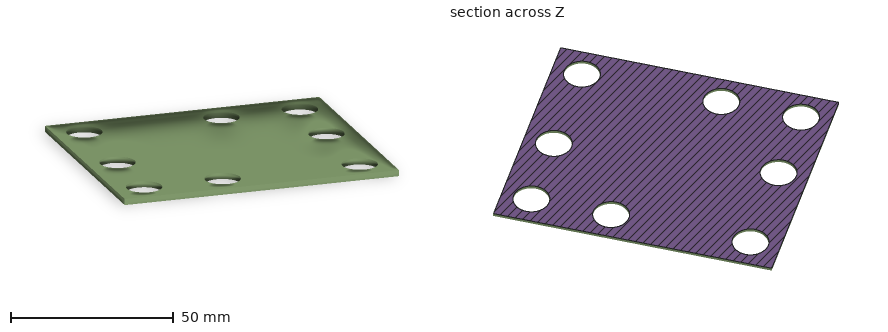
import cadquery as cq

width = 76.2
length = 88.9
thickness = 2.0

hole_diameter = 11.2
edge_inset = 9.5
hole_pitch = 25.4

corner_x = width / 2 - edge_inset
corner_y = length / 2 - edge_inset

hole_centers = []
for side in (1, -1):
    hole_centers += [
        (-side * corner_x, side * corner_y),
        (side * corner_x, side * corner_y),
        (side * (hole_pitch - corner_x), side * corner_y),
        (-side * corner_x, side * (corner_y - hole_pitch)),
    ]

plate = cq.Workplane("XY").box(width, length, thickness)
result = plate.faces(">Z").workplane().pushPoints(hole_centers).hole(hole_diameter)